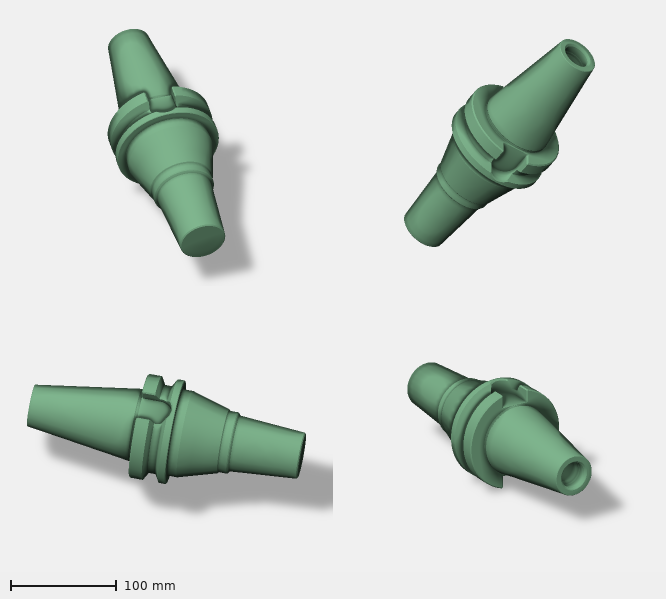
import cadquery as cq
import math

LENGTH = 261.8
FLANGE_RADIUS = 50.0
EDGE_BREAK = 1.0
FINE_BREAK = 0.5

TOLERANCE = 0.03

TAPER_SMALL_RADIUS = 20.2
TAPER_LARGE_RADIUS = 34.8
TAPER_END_X = 101.0
RELIEF_DEPTH = 0.5
RELIEF_WIDTH = 0.8

FLANGE_START_X = 104.5
FLANGE_END_X = 139.8
GROOVE_START_X = 117.3
GROOVE_END_X = 133.0
GROOVE_FLOOR_RADIUS = 42.5
GROOVE_FLANK_ANGLE = 30.0

SHOULDER_RADIUS = 41.5
SHOULDER_END_X = 149.2
SHOULDER_CONE_END_X = 186.1
SHOULDER_CONE_END_RADIUS = 31.0
COLLAR_RADIUS = 29.5
COLLAR_START_X = 187.5
COLLAR_END_X = 195.8
NOSE_LARGE_RADIUS = 27.0
NOSE_SMALL_RADIUS = 22.3
NOSE_START_X = 197.5

SLOT_WIDTH = 26.0
SLOT_FLOOR_Z = 35.0
SLOT_END_X = 136.0
SLOT_RIM_BEVEL = 1.3

MOUTH_RADIUS = 14.7
MOUTH_DEPTH = 2.0
COUNTERBORE_RADIUS = 12.5
COUNTERBORE_DEPTH = 9.7
PILOT_RADIUS = 12.0
PILOT_DEPTH = 12.3
BORE_RADIUS = 10.2
BORE_LEAD_END = 14.7
BORE_DEPTH = 52.4
DRILL_POINT_ANGLE = 118.0


def revolve_about_x(points):
    """Turn a closed (x, radius) outline about the X axis."""
    profile = cq.Workplane("XY").polyline(points).close()
    return profile.revolve(360, (0, 0, 0), (1, 0, 0))


def make_body():
    groove_depth = FLANGE_RADIUS - GROOVE_FLOOR_RADIUS
    flank_length = groove_depth * math.tan(math.radians(GROOVE_FLANK_ANGLE))
    relief_radius = TAPER_LARGE_RADIUS - RELIEF_DEPTH
    flange_face_radius = FLANGE_RADIUS - EDGE_BREAK
    taper = [
        (0, 0),
        (0, TAPER_SMALL_RADIUS - FINE_BREAK),
        (FINE_BREAK, TAPER_SMALL_RADIUS),
        (TAPER_END_X, TAPER_LARGE_RADIUS),
        (TAPER_END_X + RELIEF_WIDTH, relief_radius),
        (FLANGE_START_X - FINE_BREAK, relief_radius),
        (FLANGE_START_X, relief_radius + FINE_BREAK),
    ]
    flange = [
        (FLANGE_START_X, flange_face_radius),
        (FLANGE_START_X + EDGE_BREAK, FLANGE_RADIUS),
        (GROOVE_START_X, FLANGE_RADIUS),
        (GROOVE_START_X + flank_length, GROOVE_FLOOR_RADIUS),
        (GROOVE_END_X - flank_length, GROOVE_FLOOR_RADIUS),
        (GROOVE_END_X, FLANGE_RADIUS),
        (FLANGE_END_X - FINE_BREAK, FLANGE_RADIUS),
        (FLANGE_END_X, FLANGE_RADIUS - FINE_BREAK),
    ]
    shoulder = [
        (FLANGE_END_X, SHOULDER_RADIUS + FINE_BREAK),
        (FLANGE_END_X + FINE_BREAK, SHOULDER_RADIUS),
        (SHOULDER_END_X, SHOULDER_RADIUS),
        (SHOULDER_CONE_END_X, SHOULDER_CONE_END_RADIUS),
        (COLLAR_START_X - FINE_BREAK, COLLAR_RADIUS + FINE_BREAK / 2),
        (COLLAR_START_X, COLLAR_RADIUS),
    ]
    nose = [
        (COLLAR_END_X - EDGE_BREAK, COLLAR_RADIUS),
        (COLLAR_END_X, COLLAR_RADIUS - FINE_BREAK),
        (NOSE_START_X, NOSE_LARGE_RADIUS),
        (LENGTH - EDGE_BREAK, NOSE_SMALL_RADIUS),
        (LENGTH, NOSE_SMALL_RADIUS - EDGE_BREAK),
        (LENGTH, 0),
    ]
    return revolve_about_x(taper + flange + shoulder + nose)


def make_bore():
    """Stepped blind bore: beveled mouth, counterbore, pilot and drilled hole."""
    lead_start = PILOT_DEPTH + FINE_BREAK
    point_length = BORE_RADIUS / math.tan(math.radians(DRILL_POINT_ANGLE / 2))
    return revolve_about_x([
        (0, 0),
        (0, MOUTH_RADIUS),
        (FINE_BREAK / 2, MOUTH_RADIUS - FINE_BREAK),
        (MOUTH_DEPTH, COUNTERBORE_RADIUS),
        (COUNTERBORE_DEPTH, COUNTERBORE_RADIUS),
        (COUNTERBORE_DEPTH + FINE_BREAK, PILOT_RADIUS),
        (PILOT_DEPTH, PILOT_RADIUS),
        (lead_start, PILOT_RADIUS - FINE_BREAK),
        (BORE_LEAD_END, BORE_RADIUS),
        (BORE_DEPTH, BORE_RADIUS),
        (BORE_DEPTH + point_length, 0),
    ])


def make_slot():
    """Round-ended slot above the flat floor, open toward -X and +Z."""
    half_width = SLOT_WIDTH / 2
    arc_center_x = SLOT_END_X - half_width
    return (
        cq.Workplane("XY", origin=(0, 0, SLOT_FLOOR_Z))
        .moveTo(TAPER_END_X, -half_width)
        .lineTo(arc_center_x, -half_width)
        .threePointArc((SLOT_END_X, 0), (arc_center_x, half_width))
        .lineTo(TAPER_END_X, half_width)
        .close()
        .extrude(FLANGE_RADIUS - SLOT_FLOOR_Z)
    )


def is_slot_rim(edge):
    """True for slot edges on the flange front face, its outer bevel or its outer surface."""
    box = edge.BoundingBox()
    on_slot = max(abs(box.ymin), abs(box.ymax)) < SLOT_WIDTH / 2 + TOLERANCE
    above_floor = max(abs(box.zmin), abs(box.zmax)) > SLOT_FLOOR_Z + TOLERANCE
    on_front_land = box.xmin > FLANGE_START_X - TOLERANCE and box.xmax < GROOVE_START_X + TOLERANCE
    on_rear_land = box.xmin > GROOVE_END_X - TOLERANCE and box.xmax < SLOT_END_X + TOLERANCE
    return on_slot and above_floor and (on_front_land or on_rear_land)


def bevel_slot_rims(part):
    rims = [edge for edge in part.edges().vals() if is_slot_rim(edge)]
    return part.newObject(rims).chamfer(SLOT_RIM_BEVEL)


result = make_body().cut(make_bore())
slot = make_slot()
for turn in (0, 180):
    result = result.cut(slot.rotate((0, 0, 0), (1, 0, 0), turn))
result = bevel_slot_rims(result)